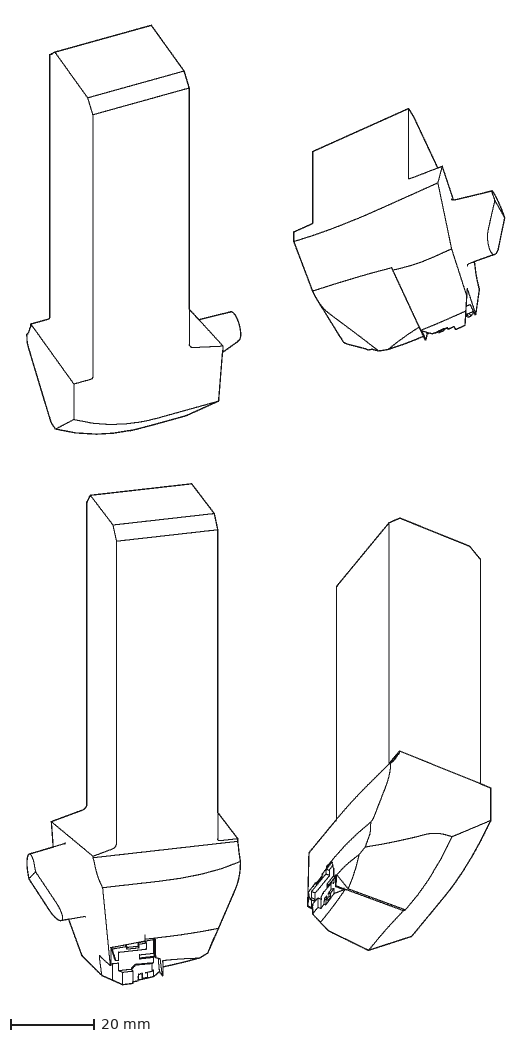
import cadquery as cq
import math

FAR = 69.5
CLEARANCE = 1.2

SHANK = 25.3
TOP = 115.8
TOP_CHAMFER = 3.0

HEAD_FRONT = -5.0
HEAD_BACK = 37.0
SHOULDER = 31.8
SHOULDER_FILLET = 0.5
BACK_SHOULDER = 33.1
BACK_SHOULDER_ANGLE = 15.0
BACK_SHOULDER_FILLET = 1.5
FLANK_RADIUS = 53.5
FLANK_END = 25.5
FLOOR_STEP_Y = 15.4
FLOOR_STEP = 0.6
FRONT_FLOOR_RADIUS = 57.9
FLOOR_TILT = 2.5
TIP_X = -31.7

LEFT_TANGENT = 16.2
LEFT_BOTTOM_X = -31.7
LEFT_LEAN = 0.063
LEFT_BOTTOM_RADIUS = 57.9
LEFT_RADIUS_GAIN = 1.7
LEFT_TOP = 34.7

RIB_BACK = 19.9
RIB_TOP = 11.9
RIB_CREST = 11.0
RIB_FOOT = 8.2
RIB_HEIGHT = 0.2
RELIEF_DEPTH = 0.5
EDGE_RELIEF_START = (-31.0, 4.9)
EDGE_RELIEF_SLOPE = 1.0

STEP_TOP = 31.1
STEP_LEDGE = (-25.9, 30.1)
STEP_MIDDLE = (-27.7, 27.0)
STEP_END = (-30.2, 25.1)
STEP_OUTER = (-34.7, 22.6)

BACK_CORNER = (0.0, 34.3, 31.1)
BACK_SLOPE_X = 0.12
BACK_SLOPE_Z = 0.07

FACET_START = 0.7
FACET_ANGLE = 32.0
FACET_ROUND = 9.8

DIAGONAL_RISE = 14.2
DIAGONAL_DEPTH = 4.7

LUG_CENTRE = (-14.6, 21.3)
LUG_LENGTH = 18.5
LUG_WIDTH = 8.3
LUG_ANGLE = 54.0
LUG_TAPER = 3.0
LUG_END = 43.1
LUG_ROOT = 1.2
LUG_HEIGHT = 16.2
LUG_FILLET = 0.9
LUG_BEVEL_START = 2.1
LUG_BEVEL_ANGLE = 25.0

INSERT_INNER = -28.6
INSERT_FACE = -30.5
INSERT_OUTLINE = [(28.5, 9.7), (17.4, 10.6), (17.1, 5.7), (16.1, 5.3), (15.4, -1.2), (28.5, -1.2)]
UPPER_PAD_FACE = -31.5
UPPER_PAD = [(28.2, 9.5), (19.7, 10.1), (19.7, 8.5), (26.6, 8.5), (26.6, 6.4), (27.3, 6.4)]
UPPER_NOTCH = (21.5, 9.0, 24.5, 10.4)
NECK_GROOVE = (17.2, 5.7, 21.1, 6.7)
NECK_GROOVE_FLOOR = -29.9
LOWER_PAD_FACE = -30.9
LOWER_PAD = [(23.2, 3.5), (22.2, 4.4), (17.4, 4.3), (17.1, 2.4), (21.4, 1.9), (21.8, -1.2), (23.2, -1.2)]
LOWER_STUD = (19.2, 0.8, 20.5, 2.1)
TIP = (23.2, -1.2, 28.5, 3.2)
INSERT_FRONT_BEVEL = 3.7

TIP_BEVEL_FRONT = 25.7
TIP_BEVEL_BACK = 29.4
TIP_BEVEL_DEPTH = 7.0
TIP_BEVEL_TOP = 5.2


def circle_drop(radius, run):
    """Distance a circle falls away from its tangent after this run along the tangent."""
    return radius - math.sqrt(radius**2 - run**2)


def both_ways(outline):
    return outline.extrude(FAR, both=True)


def make_shank():
    shank = cq.Workplane("XY").box(SHANK, SHANK, TOP - SHOULDER, centered=False)
    shank = shank.faces(">Z").edges("|Y").chamfer(TOP_CHAMFER)
    return shank.translate((-SHANK, 0, SHOULDER))


def make_floor_envelope():
    """Everything above the floor: level at the back, then curving up to the front with a step on the way."""

    def front_floor(y):
        return y, FLOOR_STEP + circle_drop(FRONT_FLOOR_RADIUS, FLANK_END - y)

    def back_floor(y):
        return y, circle_drop(FLANK_RADIUS, FLANK_END - y)

    envelope = both_ways(
        cq.Workplane("YZ")
        .moveTo(*front_floor(HEAD_FRONT))
        .threePointArc(front_floor((HEAD_FRONT + FLOOR_STEP_Y) / 2), front_floor(FLOOR_STEP_Y))
        .lineTo(*back_floor(FLOOR_STEP_Y))
        .threePointArc(back_floor((FLOOR_STEP_Y + FLANK_END) / 2), back_floor(FLANK_END))
        .lineTo(HEAD_BACK, 0)
        .lineTo(HEAD_BACK, FAR)
        .lineTo(HEAD_FRONT, FAR)
        .close()
    )
    return envelope.rotate((TIP_X, 0, 0), (TIP_X, 1, 0), -FLOOR_TILT)


def make_shoulder_envelope():
    """Everything below the level front shoulder and the sloping back shoulder."""
    drop = (HEAD_BACK - SHANK) * math.tan(math.radians(BACK_SHOULDER_ANGLE))
    outline = [
        (HEAD_FRONT, -FAR),
        (HEAD_FRONT, SHOULDER),
        (SHANK / 2, SHOULDER),
        (SHANK / 2, BACK_SHOULDER),
        (SHANK, BACK_SHOULDER),
        (HEAD_BACK, BACK_SHOULDER - drop),
        (HEAD_BACK, -FAR),
    ]
    return both_ways(cq.Workplane("YZ").polyline(outline).close())


def left_section(z, offset):
    """Level section bounded by the left face, moved outwards by the offset."""
    face_x = LEFT_BOTTOM_X + LEFT_LEAN * z - offset
    radius = LEFT_BOTTOM_RADIUS + LEFT_RADIUS_GAIN * z
    run = LEFT_TANGENT - HEAD_FRONT + CLEARANCE
    return (
        cq.Workplane("XY", origin=(0, 0, z))
        .moveTo(0, LEFT_TANGENT - run)
        .lineTo(0, HEAD_BACK)
        .lineTo(face_x, HEAD_BACK)
        .lineTo(face_x, LEFT_TANGENT)
        .threePointArc(
            (face_x + circle_drop(radius, run / 2), LEFT_TANGENT - run / 2),
            (face_x + circle_drop(radius, run), LEFT_TANGENT - run),
        )
        .close()
        .wires()
        .val()
    )


def left_loft(levels):
    return cq.Workplane(cq.Solid.makeLoft([left_section(z, offset) for z, offset in levels], True))


def make_left_envelope():
    """Plain left face at the back, ribbed and relieved left face in front of it."""
    plain = left_loft([(0, 0), (LEFT_TOP, 0)])
    ribbed = left_loft(
        [(0, -RELIEF_DEPTH), (RIB_FOOT, -RELIEF_DEPTH), (RIB_CREST, RIB_HEIGHT), (RIB_TOP, 0), (LEFT_TOP, 0)]
    )
    front = cq.Workplane("XY").box(2 * FAR, FAR, 2 * FAR).translate((0, RIB_BACK - FAR / 2, 0))
    return plain.cut(front).union(ribbed.intersect(front))


def make_step_cut():
    return (
        cq.Workplane("XZ", origin=(0, HEAD_FRONT - CLEARANCE, 0))
        .moveTo(-SHANK, SHOULDER + CLEARANCE)
        .lineTo(-SHANK, STEP_TOP)
        .lineTo(*STEP_LEDGE)
        .threePointArc(STEP_MIDDLE, STEP_END)
        .lineTo(*STEP_OUTER)
        .lineTo(STEP_OUTER[0], SHOULDER + CLEARANCE)
        .close()
        .extrude(-FAR)
    )


def make_back_cut():
    plane = cq.Plane(origin=BACK_CORNER, xDir=(1, BACK_SLOPE_X, 0), normal=(-BACK_SLOPE_X, 1, -BACK_SLOPE_Z))
    return cq.Workplane(plane).rect(3 * FAR, 3 * FAR).extrude(FAR)


def make_facet_cut():
    angle = math.radians(FACET_ANGLE)
    plane = cq.Plane(origin=(0, HEAD_FRONT, 0), xDir=(-1, 0, -1), normal=(1, 0, -1))

    def on_round(turn):
        run = FACET_ROUND * math.sin(turn)
        return FACET_START + run, circle_drop(FACET_ROUND, run)

    end_x, end_y = on_round(angle)
    return both_ways(
        cq.Workplane(plane)
        .moveTo(FACET_START, 0)
        .threePointArc(on_round(angle / 2), (end_x, end_y))
        .lineTo(end_x + FAR, end_y + FAR * math.tan(angle))
        .lineTo(end_x + FAR, -CLEARANCE)
        .lineTo(FACET_START, -CLEARANCE)
        .close()
    )


def make_diagonal_cut():
    run = math.sqrt(FLANK_RADIUS**2 - (FLANK_RADIUS - DIAGONAL_DEPTH) ** 2)
    plane = cq.Plane(origin=(0, HEAD_FRONT, DIAGONAL_RISE), xDir=(1, 0, -1), normal=(1, 0, 1))
    return both_ways(
        cq.Workplane(plane)
        .moveTo(-DIAGONAL_DEPTH, 0)
        .threePointArc((-circle_drop(FLANK_RADIUS, run / 2), run / 2), (0, run))
        .lineTo(0, FAR)
        .lineTo(FAR, FAR)
        .lineTo(FAR, -CLEARANCE)
        .lineTo(-DIAGONAL_DEPTH, -CLEARANCE)
        .close()
    )


def make_edge_relief():
    """Bevel along the lower left edge, in front of the insert."""
    x, z = EDGE_RELIEF_START
    inner = x + (z + CLEARANCE) / EDGE_RELIEF_SLOPE
    outer = x - CLEARANCE
    outline = [(outer, z + CLEARANCE * EDGE_RELIEF_SLOPE), (inner, -CLEARANCE), (outer, -CLEARANCE)]
    plane = cq.Workplane("XZ", origin=(0, FLOOR_STEP_Y, 0))
    return plane.polyline(outline).close().extrude(FAR)


def back_plane_y(x, z):
    return BACK_CORNER[1] + BACK_SLOPE_X * x + BACK_SLOPE_Z * (z - BACK_CORNER[2])


def make_lug():
    x, z = LUG_CENTRE
    y = back_plane_y(x, z)
    normal = cq.Vector(-BACK_SLOPE_X, 1, -BACK_SLOPE_Z).normalized()
    angle = math.radians(LUG_ANGLE)
    along = cq.Vector(math.cos(angle), 0, math.sin(angle))
    root = cq.Plane(origin=cq.Vector(x, y, z) - normal * LUG_ROOT, xDir=along, normal=normal)
    lug = cq.Workplane(root).slot2D(LUG_LENGTH, LUG_WIDTH).extrude(LUG_HEIGHT, taper=LUG_TAPER)

    bevel_drop = FAR * math.tan(math.radians(LUG_BEVEL_ANGLE))
    across = (-math.sin(angle), 0, math.cos(angle))
    lengthwise = cq.Plane(origin=(x, LUG_END, z), xDir=along, normal=across)
    end_outline = [
        (FAR, 0),
        (LUG_BEVEL_START, 0),
        (LUG_BEVEL_START - FAR, -bevel_drop),
        (LUG_BEVEL_START - FAR, FAR),
        (FAR, FAR),
    ]
    return lug.cut(both_ways(cq.Workplane(lengthwise).polyline(end_outline).close()))


def make_head():
    head = make_floor_envelope().intersect(make_shoulder_envelope()).intersect(make_left_envelope())
    head = head.cut(make_step_cut())
    head = head.cut(make_facet_cut())
    head = head.cut(make_diagonal_cut())
    head = head.cut(make_edge_relief())
    return head.cut(make_back_cut())


def make_tip_bevel():
    """Hollow behind the cutting tip, running inwards from the left face to the back."""
    outline = [
        (TIP_X - CLEARANCE, TIP_BEVEL_FRONT),
        (TIP_X, TIP_BEVEL_FRONT),
        (TIP_X + TIP_BEVEL_DEPTH, TIP_BEVEL_BACK),
        (TIP_X + TIP_BEVEL_DEPTH, TIP_BEVEL_BACK + CLEARANCE),
        (TIP_X - CLEARANCE, TIP_BEVEL_BACK + CLEARANCE),
    ]
    plane = cq.Workplane("XY", origin=(0, 0, -CLEARANCE))
    return plane.polyline(outline).close().extrude(TIP_BEVEL_TOP + CLEARANCE)


def layer(outline, inner_x, outer_x):
    return cq.Workplane("YZ", origin=(inner_x, 0, 0)).polyline(outline).close().extrude(outer_x - inner_x)


def rectangle(corners):
    y0, z0, y1, z1 = corners
    return [(y0, z0), (y1, z0), (y1, z1), (y0, z1)]


def make_front_bevel():
    """Bevel across the front end of the insert."""
    front = INSERT_OUTLINE[-2][0]
    outline = [(INSERT_INNER, front), (TIP_X, front + INSERT_FRONT_BEVEL), (TIP_X, front)]
    return both_ways(cq.Workplane("XY").polyline(outline).close())


def make_insert():
    insert = layer(INSERT_OUTLINE, INSERT_INNER, INSERT_FACE)
    insert = insert.union(layer(UPPER_PAD, INSERT_INNER, UPPER_PAD_FACE))
    insert = insert.union(layer(LOWER_PAD, INSERT_INNER, LOWER_PAD_FACE))
    insert = insert.union(layer(rectangle(LOWER_STUD), INSERT_INNER, LOWER_PAD_FACE))
    insert = insert.union(layer(rectangle(TIP), INSERT_INNER, TIP_X))
    insert = insert.cut(layer(rectangle(UPPER_NOTCH), INSERT_FACE, UPPER_PAD_FACE))
    insert = insert.cut(layer(rectangle(NECK_GROOVE), NECK_GROOVE_FLOOR, INSERT_FACE))
    insert = insert.cut(make_tip_bevel()).cut(make_front_bevel())
    return insert.intersect(make_floor_envelope()).solids()


def is_lug_root(edge):
    """True for the edges on the back plane that surround the foot of the lug."""
    centre = edge.Center()
    on_plane = math.isclose(centre.y, back_plane_y(centre.x, centre.z), rel_tol=1e-4)
    from_lug = math.hypot(centre.x - LUG_CENTRE[0], centre.z - LUG_CENTRE[1])
    return on_plane and from_lug < LUG_LENGTH / 2


def make_holder():
    holder = make_shank().union(make_head())
    front_corner = cq.NearestToPointSelector((-SHANK / 2, 0, SHOULDER))
    back_corner = cq.NearestToPointSelector((-SHANK / 2, SHANK, BACK_SHOULDER))
    holder = holder.edges(front_corner).fillet(SHOULDER_FILLET)
    holder = holder.edges(back_corner).fillet(BACK_SHOULDER_FILLET)
    pocket = layer(INSERT_OUTLINE, INSERT_INNER, TIP_X - CLEARANCE)
    holder = holder.union(make_lug())
    holder = holder.newObject(holder.edges().filter(is_lug_root).vals()).fillet(LUG_FILLET)
    return holder.cut(pocket).cut(make_tip_bevel()).solids()


holder = make_holder()
insert = make_insert()
result = cq.Compound.makeCompound([holder.val(), insert.val()])